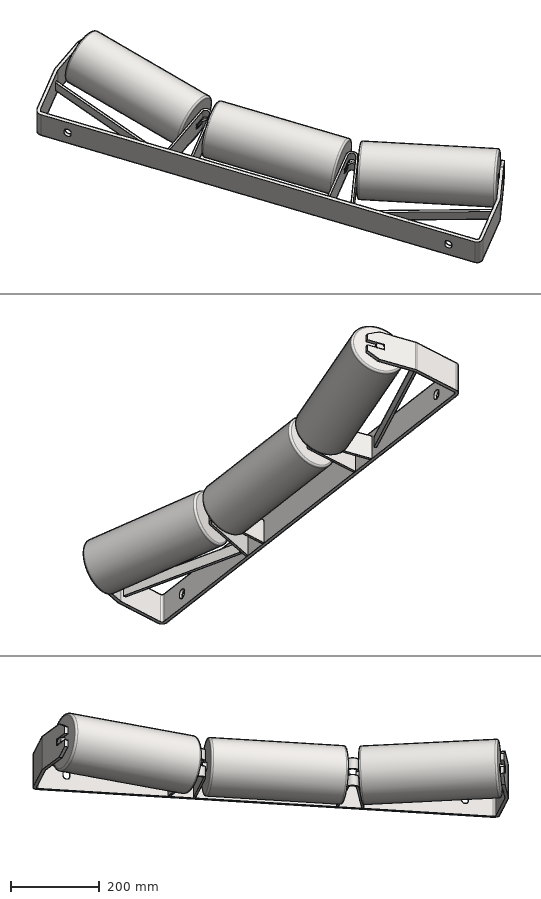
import cadquery as cq
import math


roller_length = 315.0
roller_diameter = 133.0
roller_edge_radius = 5.0
axle_diameter = 20.0
axle_flats = 14.0
axle_tip_length = 7.0
plate_gap = 4.0
shoulder_clearance = 0.3
plate_offset = roller_length / 2 + plate_gap
axle_shoulder = plate_offset - shoulder_clearance

trough_angle = 15.0
wing_tilt = 1.209
centre_roller_y = 125.5
wing_x = 348.5
wing_y = 170.95
wing_z = -plate_offset * math.sin(math.radians(wing_tilt))
inner_axle_z = 2 * wing_z

frame_length = 1070.0
frame_width = 80.0
strip_thickness = 8.0
inner_bend_radius = 6.0
outer_bend_radius = inner_bend_radius + strip_thickness
end_height = 246.5
tip_width = 48.0
tip_taper_length = 30.0

slot_width = 15.0
slot_depth = 50.0

mount_slot_x = 457.0
mount_slot_width = 16.0
mount_slot_length = 26.0

bracket_thickness = 5.0
bracket_width = 66.0
bracket_fold_radius = 14.0

brace_angle = 20.4
brace_thickness = 6.0
brace_width = 30.0
brace_z = -5.0
brace_top_y = 121.0
brace_length = 305.0

sin_trough = math.sin(math.radians(trough_angle))
cos_trough = math.cos(math.radians(trough_angle))
tan_trough = sin_trough / cos_trough
half_length = frame_length / 2


def wing_point(along, across):
    """XY point measured from the left wing roller centre, outwards along its axis and up across it."""
    return (
        -wing_x - along * cos_trough + across * sin_trough,
        wing_y + along * sin_trough + across * cos_trough,
    )


def wing_frame(along=0.0, across=0.0):
    """Workplane at a wing point: local X runs outwards along the axis, local Y is Z."""
    x, y = wing_point(along, across)
    return cq.Plane(origin=(x, y, 0), xDir=(-cos_trough, sin_trough, 0), normal=(sin_trough, cos_trough, 0))


def make_strip():
    face_x, face_y = wing_point(plate_offset + strip_thickness, 0)
    bend_y = face_y - (half_length + face_x) / tan_trough
    inner_bend_y = bend_y - strip_thickness * math.tan(math.radians(trough_angle / 2))
    tip_x = -half_length + (end_height - bend_y) * tan_trough
    tip_inner = (tip_x + strip_thickness * cos_trough, end_height - strip_thickness * sin_trough)
    inner_x = -half_length + strip_thickness

    half = (
        cq.Workplane("XY").workplane(offset=-frame_width / 2)
        .moveTo(0, 0).lineTo(-half_length, 0).lineTo(-half_length, bend_y).lineTo(tip_x, end_height)
        .lineTo(*tip_inner).lineTo(inner_x, inner_bend_y).lineTo(inner_x, strip_thickness)
        .lineTo(0, strip_thickness).close()
        .extrude(frame_width)
    )

    def round_corner(body, point, radius):
        x, y = point
        near = cq.selectors.BoxSelector((x - 1, y - 1, -frame_width), (x + 1, y + 1, frame_width))
        return body.edges("|Z").edges(near).fillet(radius)

    half = round_corner(half, (-half_length, 0), outer_bend_radius)
    half = round_corner(half, (inner_x, strip_thickness), inner_bend_radius)
    half = round_corner(half, (-half_length, bend_y), outer_bend_radius)
    half = round_corner(half, (inner_x, inner_bend_y), inner_bend_radius)
    return half.cut(tip_tapers(tip_x)).cut(end_slot()).cut(mount_slot())


def tip_level(tip_x):
    """Distance of the end tip above the wing roller axis, measured along the sloping wall."""
    return (tip_x + wing_x) * sin_trough + (end_height - wing_y) * cos_trough


def wall_plane(tip_x):
    """Plane across the end wall at its tip: local X is Z, local Y runs up the wall."""
    x, y = wing_point(plate_offset, tip_level(tip_x))
    return cq.Plane(origin=(x, y, 0), xDir=(0, 0, 1), normal=(-cos_trough, sin_trough, 0))


def tip_tapers(tip_x):
    half_tip = tip_width / 2
    half_width = frame_width / 2
    corner = (
        cq.Workplane(wall_plane(tip_x))
        .polyline([(half_tip, 0), (half_width, 0), (half_width, -tip_taper_length)]).close()
        .extrude(2 * strip_thickness, both=True)
    )
    return corner.union(corner.mirror("XY"))


def end_slot():
    return (
        cq.Workplane(wing_frame(plate_offset, -axle_diameter / 2))
        .rect(4 * strip_thickness, slot_width)
        .extrude(slot_depth)
    )


def mount_slot():
    return (
        cq.Workplane("XZ").center(-mount_slot_x, 0)
        .slot2D(mount_slot_length, mount_slot_width, 90)
        .extrude(2 * strip_thickness, both=True)
    )


def make_bracket():
    upright_x = -plate_offset
    fold_x = upright_x - bracket_fold_radius
    face_x, face_y = wing_point(-plate_offset, 0)
    fold_y = face_y + ((fold_x - face_x) * cos_trough - bracket_fold_radius) / sin_trough

    def outline(radius):
        foot_y = strip_thickness / 2
        slope_x = fold_x - radius * cos_trough
        slope_y = fold_y + radius * sin_trough
        foot_x = slope_x - (slope_y - foot_y) * tan_trough
        return (
            cq.Workplane("XY").workplane(offset=inner_axle_z - bracket_width / 2)
            .moveTo(foot_x, foot_y).lineTo(slope_x, slope_y)
            .threePointArc((fold_x, fold_y + radius), (fold_x + radius, fold_y))
            .lineTo(fold_x + radius, foot_y).close()
            .extrude(bracket_width)
        )

    bracket = outline(bracket_fold_radius).cut(outline(bracket_fold_radius - bracket_thickness))
    return bracket.cut(upright_slot(upright_x)).cut(slope_slot())


def upright_slot(upright_x):
    return (
        cq.Workplane("XY")
        .box(bracket_fold_radius, slot_depth, slot_width, centered=(False, False, True))
        .translate((upright_x - bracket_fold_radius, centre_roller_y - axle_diameter / 2, inner_axle_z))
    )


def slope_slot():
    return (
        cq.Workplane(wing_frame(-plate_offset, -axle_diameter / 2))
        .center(-bracket_fold_radius / 2, inner_axle_z)
        .rect(bracket_fold_radius, slot_width)
        .extrude(slot_depth)
    )


def make_brace():
    overlap = strip_thickness / 2
    bar = (
        cq.Workplane("XY")
        .box(brace_length + overlap, brace_thickness, brace_width, centered=(False, False, True))
        .translate((-overlap, -brace_thickness, 0))
        .rotate((0, 0, 0), (0, 0, 1), -brace_angle)
    )
    return bar.translate((strip_thickness - half_length, brace_top_y, brace_z))


def make_frame():
    left = make_strip().union(make_bracket()).union(make_brace())
    return left.union(left.mirror("YZ"))


def make_roller():
    """Roller along X with its axle, centred on the origin; the axle flats face up and down."""
    shell = (
        cq.Workplane("YZ").workplane(offset=-roller_length / 2)
        .circle(roller_diameter / 2).extrude(roller_length)
        .edges().fillet(roller_edge_radius)
    )
    axle = cq.Workplane("YZ").circle(axle_diameter / 2).extrude(axle_shoulder, both=True)
    tips = (
        cq.Workplane("YZ").circle(axle_diameter / 2).extrude(axle_shoulder + axle_tip_length, both=True)
        .intersect(cq.Workplane("XY").box(roller_length * 2, axle_diameter, axle_flats))
    )
    return shell.union(axle).union(tips)


def make_wing_roller(side):
    """Wing roller on the side given by -1 (left) or 1 (right)."""
    return (
        make_roller()
        .rotate((0, 0, 0), (0, 1, 0), -side * wing_tilt)
        .rotate((0, 0, 0), (0, 0, 1), side * trough_angle)
        .translate((side * wing_x, wing_y, wing_z))
    )


frame = make_frame()
centre_roller = make_roller().translate((0, centre_roller_y, inner_axle_z))
wing_rollers = [make_wing_roller(side) for side in (-1, 1)]

result = cq.Compound.makeCompound(
    [frame.val(), centre_roller.val(), *[roller.val() for roller in wing_rollers]]
)